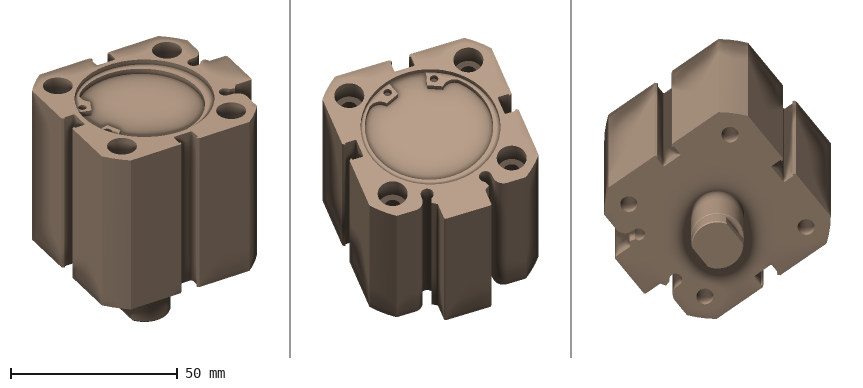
import cadquery as cq
import math


BODY_HEIGHT = 53.6
BODY_WIDTH = 54.0
HALF_WIDTH = BODY_WIDTH / 2
CORNER_RADIUS = 34.0

PORT_TOP_Y = 60.0 - HALF_WIDTH
PORT_HALF_WIDTH = 7.55
PORT_CHAMFER = 0.4
PORT_FOOT_Y = 27.2
BARB_TOP = (9.1, 26.1)
BARB_BOTTOM = (8.6, 24.45)
GROOVE_CENTER = (9.3, 22.65)
GROOVE_RADIUS = 2.0
EAR_CENTER_X = 14.65
EAR_RADIUS = 3.3

SLOT_WIDTH = 6.5
SLOT_DEPTH = 4.45
SLOT_MOUTH_WIDTH = 5.4
SLOT_LIP = 0.9
SLOT_CHAMFER = 0.5
SLOT_FLOOR_FILLET = 0.4

HOLE_PITCH = 38.0
HOLE_DIAMETER = 5.1
COUNTERBORE_DIAMETER = 9.0
COUNTERBORE_DEPTH = 7.0

BORE_RADIUS = 21.0
RING_DEPTH = 1.7
RING_THICKNESS = 1.8
COVER_THICKNESS = 6.05
COVER_TOP_Z = BODY_HEIGHT - RING_DEPTH - RING_THICKNESS
COVER_BOTTOM_Z = COVER_TOP_Z - COVER_THICKNESS

RING_OUTER_RADIUS = 22.3
RING_INNER_RADIUS = 19.25
RING_INNER_CENTER_Y = -1.3
LUG_START_X = 14.3
LUG_HOLLOW = (11.3, -15.1)
LUG_SHOULDER = (9.0, -13.7)
LUG_TIP = (4.6, -15.7)
LUG_HOLE = (7.4, -17.2)
LUG_HOLE_DIAMETER = 2.6

ROD_RADIUS = 8.0
ROD_LENGTH = 16.0
TIP_RADIUS = 7.815
TIP_LENGTH = 5.9
TIP_CHAMFER = 0.45
TIP_CHAMFER_INSET = 0.2
FLAT_HALF_WIDTH = 6.5


def mirrored(point):
    return (-point[0], point[1])


def housing_outline():
    """Closed outline of the extrusion, without the sensor slots."""
    side = math.sqrt(CORNER_RADIUS**2 - HALF_WIDTH**2)
    middle = CORNER_RADIUS / math.sqrt(2)
    ear_side = (EAR_CENTER_X - EAR_RADIUS, HALF_WIDTH - EAR_RADIUS)
    ear_middle = (
        EAR_CENTER_X - EAR_RADIUS / math.sqrt(2),
        HALF_WIDTH - EAR_RADIUS + EAR_RADIUS / math.sqrt(2),
    )
    ear_top = (EAR_CENTER_X, HALF_WIDTH)
    groove_start = (GROOVE_CENTER[0] + GROOVE_RADIUS, GROOVE_CENTER[1])
    groove_bottom = (GROOVE_CENTER[0], GROOVE_CENTER[1] - GROOVE_RADIUS)
    port_foot = (PORT_HALF_WIDTH, PORT_FOOT_Y)
    port_corner_low = (PORT_HALF_WIDTH, PORT_TOP_Y - PORT_CHAMFER)
    port_corner_high = (PORT_HALF_WIDTH - PORT_CHAMFER, PORT_TOP_Y)
    return (
        cq.Workplane("XY")
        .moveTo(-side, -HALF_WIDTH)
        .lineTo(side, -HALF_WIDTH)
        .threePointArc((middle, -middle), (HALF_WIDTH, -side))
        .lineTo(HALF_WIDTH, side)
        .threePointArc((middle, middle), (side, HALF_WIDTH))
        .lineTo(*ear_top)
        .threePointArc(ear_middle, ear_side)
        .lineTo(*groove_start)
        .threePointArc(groove_bottom, BARB_BOTTOM)
        .lineTo(*BARB_TOP)
        .lineTo(*port_foot)
        .lineTo(*port_corner_low)
        .lineTo(*port_corner_high)
        .lineTo(*mirrored(port_corner_high))
        .lineTo(*mirrored(port_corner_low))
        .lineTo(*mirrored(port_foot))
        .lineTo(*mirrored(BARB_TOP))
        .lineTo(*mirrored(BARB_BOTTOM))
        .threePointArc(mirrored(groove_bottom), mirrored(groove_start))
        .lineTo(*mirrored(ear_side))
        .threePointArc(mirrored(ear_middle), mirrored(ear_top))
        .lineTo(-side, HALF_WIDTH)
        .threePointArc((-middle, middle), (-HALF_WIDTH, side))
        .lineTo(-HALF_WIDTH, -side)
        .threePointArc((-middle, -middle), (-side, -HALF_WIDTH))
        .close()
    )


def sensor_slot():
    """Cutter for the slot on the -Y side, with a narrower, chamfered mouth."""
    outer_y = -HALF_WIDTH
    lip_y = outer_y + SLOT_LIP
    floor_y = outer_y + SLOT_DEPTH
    mouth = SLOT_MOUTH_WIDTH / 2
    half_slot = SLOT_WIDTH / 2
    right_side = [
        (mouth + SLOT_CHAMFER, outer_y),
        (mouth, outer_y + SLOT_CHAMFER),
        (mouth, lip_y),
        (half_slot, lip_y),
        (half_slot, floor_y),
    ]
    left_side = [mirrored(point) for point in reversed(right_side)]
    slot = cq.Workplane("XY").polyline(right_side + left_side).close().extrude(BODY_HEIGHT)
    return slot.faces(">Y").edges("|Z").fillet(SLOT_FLOOR_FILLET)


def cylinder(radius, bottom_z, top_z):
    return cq.Workplane("XY").workplane(offset=bottom_z).circle(radius).extrude(top_z - bottom_z)


def make_housing():
    housing = housing_outline().extrude(BODY_HEIGHT)

    slot = sensor_slot()
    for angle in (-90, 0, 90):
        housing = housing.cut(slot.rotate((0, 0, 0), (0, 0, 1), angle))

    housing = (
        housing.faces(">Z").workplane(origin=(0, 0, BODY_HEIGHT))
        .rect(HOLE_PITCH, HOLE_PITCH, forConstruction=True).vertices()
        .cboreHole(HOLE_DIAMETER, COUNTERBORE_DIAMETER, COUNTERBORE_DEPTH)
    )

    cover_bore = cylinder(BORE_RADIUS, COVER_BOTTOM_Z, BODY_HEIGHT)
    ring_groove = cylinder(RING_OUTER_RADIUS, COVER_TOP_Z, COVER_TOP_Z + RING_THICKNESS)
    rod_bore = cylinder(ROD_RADIUS, 0, COVER_BOTTOM_Z)
    return housing.cut(cover_bore).cut(ring_groove).cut(rod_bore)


def make_cover():
    return cylinder(BORE_RADIUS, COVER_BOTTOM_Z, COVER_TOP_Z)


def make_snap_ring():
    lug_start_y = RING_INNER_CENTER_Y - math.sqrt(RING_INNER_RADIUS**2 - LUG_START_X**2)
    lug_start = (LUG_START_X, lug_start_y)
    tip_scale = RING_OUTER_RADIUS / math.hypot(*LUG_TIP)
    outer_end = (LUG_TIP[0] * tip_scale, LUG_TIP[1] * tip_scale)
    ring = (
        cq.Workplane("XY").workplane(offset=COVER_TOP_Z)
        .moveTo(*outer_end)
        .threePointArc((0, RING_OUTER_RADIUS), mirrored(outer_end))
        .lineTo(*mirrored(LUG_TIP))
        .lineTo(*mirrored(LUG_SHOULDER))
        .threePointArc(mirrored(LUG_HOLLOW), mirrored(lug_start))
        .threePointArc((0, RING_INNER_CENTER_Y + RING_INNER_RADIUS), lug_start)
        .threePointArc(LUG_HOLLOW, LUG_SHOULDER)
        .lineTo(*LUG_TIP)
        .close()
        .extrude(RING_THICKNESS)
    )
    lug_holes = (
        cq.Workplane("XY").workplane(offset=COVER_TOP_Z)
        .pushPoints([LUG_HOLE, mirrored(LUG_HOLE)])
        .circle(LUG_HOLE_DIAMETER / 2)
        .extrude(RING_THICKNESS)
    )
    return ring.cut(lug_holes)


def make_rod():
    """Rod with a slightly thinner tip, which carries two wrench flats facing -Y and +Y."""
    tip_end_z = -ROD_LENGTH - TIP_LENGTH
    edge_drop = ROD_RADIUS - TIP_RADIUS
    rod = (
        cq.Workplane("XZ")
        .moveTo(0, COVER_BOTTOM_Z)
        .lineTo(ROD_RADIUS, COVER_BOTTOM_Z)
        .lineTo(ROD_RADIUS, -ROD_LENGTH)
        .lineTo(TIP_RADIUS, -ROD_LENGTH - edge_drop)
        .lineTo(TIP_RADIUS, tip_end_z + TIP_CHAMFER)
        .lineTo(TIP_RADIUS - TIP_CHAMFER_INSET, tip_end_z)
        .lineTo(0, tip_end_z)
        .close()
        .revolve(360, (0, 0, 0), (0, 1, 0))
    )
    slope_end_z = -ROD_LENGTH - (ROD_RADIUS - FLAT_HALF_WIDTH)
    flat_cutter = (
        cq.Workplane("YZ")
        .moveTo(ROD_RADIUS, -ROD_LENGTH)
        .lineTo(FLAT_HALF_WIDTH, slope_end_z)
        .lineTo(FLAT_HALF_WIDTH, tip_end_z)
        .lineTo(ROD_RADIUS, tip_end_z)
        .close()
        .extrude(ROD_RADIUS, both=True)
    )
    return rod.cut(flat_cutter).cut(flat_cutter.mirror("XZ"))


housing = make_housing()
cover = make_cover()
snap_ring = make_snap_ring()
rod = make_rod()

bodies = [housing, cover, snap_ring, rod]
result = cq.Compound.makeCompound([body.solids().val() for body in bodies])